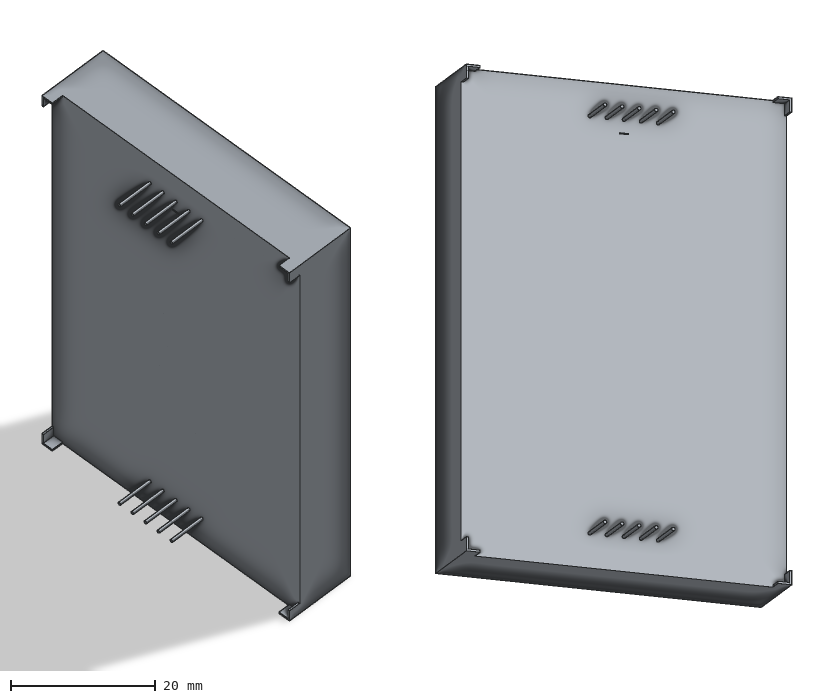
import cadquery as cq

WIDTH = 48.0
DEPTH = 16.0
HEIGHT = 70.0

BODY_DEPTH = 10.0
FOOT_LENGTH = 2.0
FOOT_LEG = 2.0
FOOT_WALL = 0.3

PIN_DIAMETER = 0.5
PIN_LENGTH = DEPTH - BODY_DEPTH
PIN_PITCH = 2.5
PINS_PER_ROW = 5
ROWS = 2
ROW_SPACING = 60.0

DASH_WIDTH = 1.25
DASH_HEIGHT = 0.15
DASH_RAISE = 0.1
DASH_DROP = 2.0



def block(x_size, y_size, z_size, x_center, y_start, z_center):
    """Block centred in X and Z that runs from y_start toward +Y."""
    return (
        cq.Workplane("XY")
        .box(x_size, y_size, z_size, centered=(True, False, True))
        .translate((x_center, y_start, z_center))
    )


def foot(x_side, z_side):
    """L-shaped corner foot, flush with the two outer walls it meets."""
    upright = block(
        FOOT_WALL, FOOT_LENGTH, FOOT_LEG,
        x_side * (WIDTH - FOOT_WALL) / 2, -FOOT_LENGTH, z_side * (HEIGHT - FOOT_LEG) / 2,
    )
    flat = block(
        FOOT_LEG, FOOT_LENGTH, FOOT_WALL,
        x_side * (WIDTH - FOOT_LEG) / 2, -FOOT_LENGTH, z_side * (HEIGHT - FOOT_WALL) / 2,
    )
    return upright.union(flat)


def pins():
    """Two rows of round pins standing on the pin face."""
    return (
        cq.Workplane("XZ")
        .rarray(PIN_PITCH, ROW_SPACING, PINS_PER_ROW, ROWS)
        .circle(PIN_DIAMETER / 2)
        .extrude(PIN_LENGTH)
    )


def dash():
    """Thin raised mark on the pin face."""
    return block(
        DASH_WIDTH, DASH_RAISE, DASH_HEIGHT,
        0, -DASH_RAISE, ROW_SPACING / 2 - DASH_DROP,
    )


result = block(WIDTH, BODY_DEPTH, HEIGHT, 0, 0, 0)
for x_side in (-1, 1):
    for z_side in (-1, 1):
        result = result.union(foot(x_side, z_side))
result = result.union(pins()).union(dash()).clean()